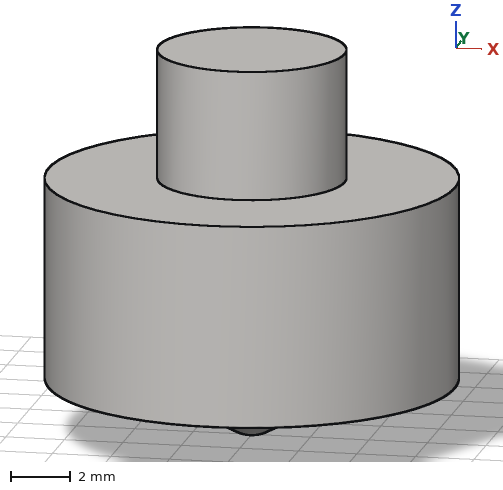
import cadquery as cq
import math

total_height = 13.26
body_radius = 6.95
stem_radius = 6.35 / 2
stem_height = 4.42
cone_angle = math.radians(11.0)
cone_inner_radius = 3.22
flare_radius = 8.0
tip_radius = 1.2
rim_fillet = 0.1

flare_center_x = cone_inner_radius + flare_radius * math.sin(cone_angle)
tip_angle = math.asin(flare_center_x / (flare_radius + tip_radius))

tip_edge_z = tip_radius * (1 - math.cos(tip_angle))
flare_center_z = tip_edge_z - flare_radius * math.cos(tip_angle)
cone_inner_z = flare_center_z + flare_radius * math.cos(cone_angle)
rim_z = cone_inner_z + (body_radius - cone_inner_radius) * math.tan(cone_angle)
shoulder_z = total_height - stem_height


def flare_point(angle):
    """Point on the concave flare where its slope from horizontal is angle."""
    return (
        flare_center_x - flare_radius * math.sin(angle),
        flare_center_z + flare_radius * math.cos(angle),
    )


def tip_point(angle):
    """Point on the rounded tip where its slope from horizontal is angle."""
    return (tip_radius * math.sin(angle), tip_radius * (1 - math.cos(angle)))


profile = (
    cq.Workplane("XZ")
    .moveTo(0, 0)
    .threePointArc(tip_point(tip_angle / 2), tip_point(tip_angle))
    .threePointArc(flare_point((tip_angle + cone_angle) / 2), flare_point(cone_angle))
    .lineTo(body_radius, rim_z)
    .lineTo(body_radius, shoulder_z)
    .lineTo(stem_radius, shoulder_z)
    .lineTo(stem_radius, total_height)
    .lineTo(0, total_height)
    .close()
)
turned_part = profile.revolve(360, (0, 0, 0), (0, 1, 0))

lower_rim = cq.selectors.BoxSelector(
    (-2 * body_radius, -2 * body_radius, rim_z - rim_fillet),
    (2 * body_radius, 2 * body_radius, rim_z + rim_fillet),
    boundingbox=True,
)
rim_edges = turned_part.edges("%CIRCLE").edges(lower_rim)
result = rim_edges.fillet(rim_fillet)